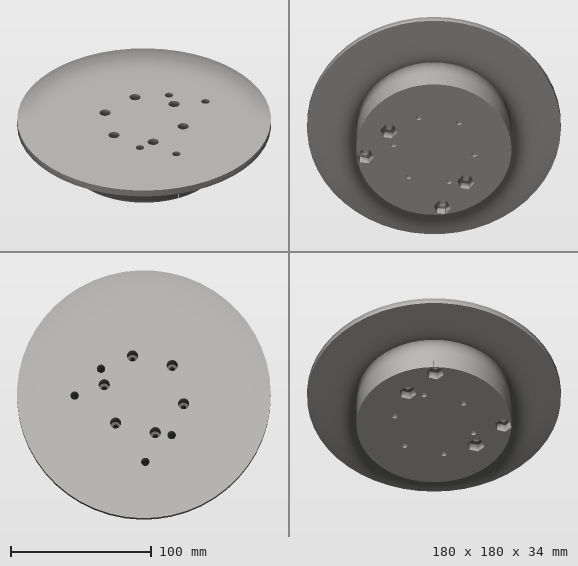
import cadquery as cq

plate_diameter = 180
plate_thickness = 5.0
hub_diameter = 110.0
total_height = 34.0
hub_height = total_height - plate_thickness

screw_count = 6
screw_circle_radius = 29.0
screw_hole_diameter = 4.0
screw_head_diameter = 8.0
screw_head_depth = 14.4

bolt_hole_diameter = 6.0
bolt_near_x = 7.7
bolt_far_x = 34.7
bolt_y = 34.7
nut_sides = 6
nut_corner_diameter = 12.2
nut_pocket_depth = 7.0

bolt_points = [(x, y) for x in (bolt_near_x, bolt_far_x) for y in (-bolt_y, bolt_y)]


def make_body():
    """Hub with the wider plate on top of it."""
    hub = cq.Workplane("XY").circle(hub_diameter / 2).extrude(hub_height)
    return hub.faces(">Z").workplane().circle(plate_diameter / 2).extrude(plate_thickness)


def cut_screw_holes(body):
    """Counterbored holes right through the part, the first one on the X axis."""
    return (
        body.faces(">Z")
        .workplane()
        .polarArray(screw_circle_radius, 0, 360, screw_count)
        .cboreHole(screw_hole_diameter, screw_head_diameter, screw_head_depth)
    )


def cut_bolt_holes(body):
    """Plain holes right through the part."""
    return body.faces(">Z").workplane().pushPoints(bolt_points).hole(bolt_hole_diameter)


def cut_nut_pockets(body):
    """Hexagonal pockets in the hub's bottom face, two corners of each pointing along X.

    The outermost corners of the far pockets just break through the hub wall.
    """
    pockets = cq.Workplane("XY").pushPoints(bolt_points)
    pockets = pockets.polygon(nut_sides, nut_corner_diameter).extrude(nut_pocket_depth)
    return body.cut(pockets)


result = make_body()
result = cut_screw_holes(result)
result = cut_bolt_holes(result)
result = cut_nut_pockets(result)